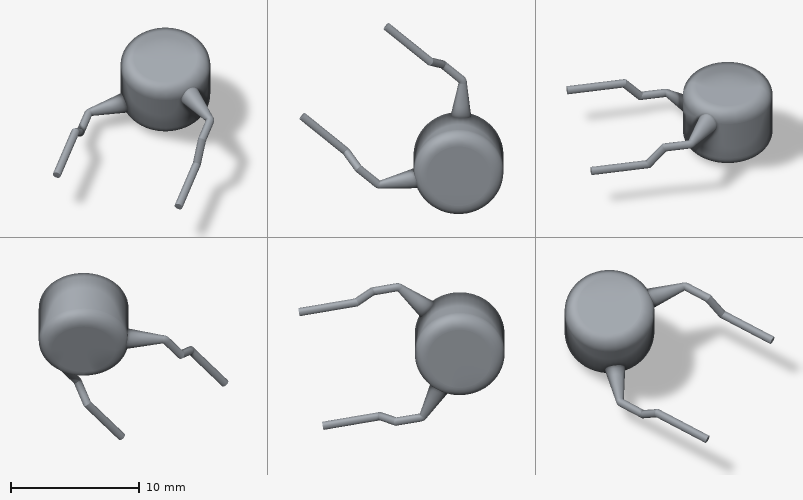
import cadquery as cq
import math


housing_diameter = 7.0
housing_height = 5.5
housing_fillet = 1.0

wire_diameter = 0.65
lead_spacing = 10.0
lead_exit_height = 1.48
overall_length = 15.3
elbow_radius = 0.34
elbow_start_y = -4.05
first_kink_y = -5.98
second_kink_y = -7.27
lead_end_y = housing_diameter / 2 - overall_length

collar_angle = 38.0
collar_tip_radius = wire_diameter / 2
collar_half_angle = 9.8
collar_length = 4.28

lead_x = -lead_spacing / 2
elbow_turn = 90.0 - collar_angle
elbow_centre_x = lead_x + elbow_radius
tip_x = elbow_centre_x - elbow_radius * math.cos(math.radians(elbow_turn))
tip_y = elbow_start_y + elbow_radius * math.sin(math.radians(elbow_turn))


def make_housing():
    """Cylinder with both rims rounded."""
    blank = cq.Workplane("XY").cylinder(housing_height, housing_diameter / 2)
    return blank.edges("%CIRCLE").fillet(housing_fillet).solids()


def make_lead():
    """Left lead: elbow at the collar, then a wire that kinks up to the mid plane."""
    start = cq.Workplane("XZ", origin=(lead_x, elbow_start_y, -lead_exit_height))
    elbow = start.circle(wire_diameter / 2).revolve(
        elbow_turn, (elbow_radius, 0), (elbow_radius, -1)
    )
    path = cq.Workplane("YZ", origin=(lead_x, 0, 0)).polyline([
        (elbow_start_y, -lead_exit_height),
        (first_kink_y, -lead_exit_height),
        (second_kink_y, 0),
        (lead_end_y, 0),
    ])
    wire = start.circle(wire_diameter / 2).sweep(path, transition="right")
    return wire.union(elbow).solids()


def make_collar(housing):
    """Left collar: cone widening from the elbow, trimmed where it meets the housing."""
    base_radius = collar_tip_radius + collar_length * math.tan(math.radians(collar_half_angle))
    axis = cq.Vector(
        math.cos(math.radians(collar_angle)), math.sin(math.radians(collar_angle)), 0
    )
    tip = cq.Vector(tip_x, tip_y, -lead_exit_height)
    cone = cq.Solid.makeCone(collar_tip_radius, base_radius, collar_length, pnt=tip, dir=axis)
    return cq.Workplane(cone).cut(housing).solids()


housing = make_housing()
lead = make_lead()
collar = make_collar(housing)

leads = []
collars = []
for turn in (0, 180):
    leads.append(lead.rotate((0, 0, 0), (0, 1, 0), turn).val())
    collars.append(collar.rotate((0, 0, 0), (0, 1, 0), turn).val())

result = cq.Compound.makeCompound([housing.val(), *leads, *collars])